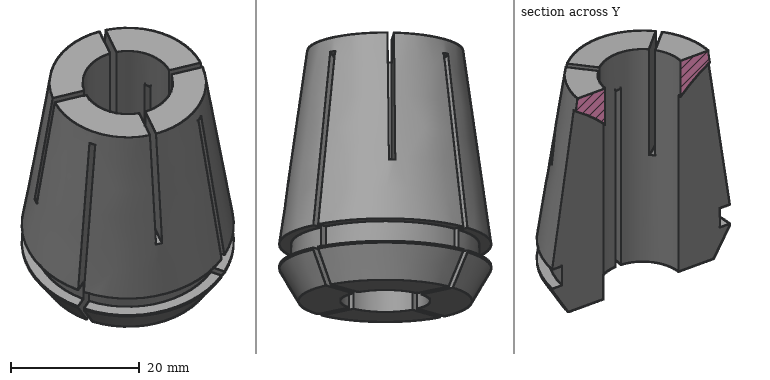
import math

import cadquery as cq

height = 40.0
outer_diameter = 33.0
bore_diameter = 14.0

nose_cone_height = 5.2
nose_bottom_diameter = 27.0
rim_width = 0.3

groove_width = 3.6
groove_diameter = 29.3

taper_half_angle = 8.0

slot_width = 1.0
slots_per_end = 4
slot_pitch = 360.0 / slots_per_end

bottom_saw_radius = 30.0
bottom_saw_r = 28.7
bottom_saw_z = 12.4

top_saw_radius = 15.0
top_saw_r = 13.2
top_saw_z = 33.8

outer_radius = outer_diameter / 2
rim_top = nose_cone_height + rim_width
taper_bottom = rim_top + groove_width
top_radius = outer_radius - (height - taper_bottom) * math.tan(math.radians(taper_half_angle))


def make_body():
    """Revolve the bored outline, given as (radius, height) points."""
    bore_radius = bore_diameter / 2
    groove_radius = groove_diameter / 2
    outline = [
        (bore_radius, 0),
        (nose_bottom_diameter / 2, 0),
        (outer_radius, nose_cone_height),
        (outer_radius, rim_top),
        (groove_radius, rim_top),
        (groove_radius, taper_bottom),
        (outer_radius, taper_bottom),
        (top_radius, height),
        (bore_radius, height),
    ]
    return cq.Workplane("XZ").polyline(outline).close().revolve(360, (0, 0, 0), (0, 1, 0))


def make_slot_cutter(saw_radius, saw_r, saw_z, open_z, angle):
    """Saw cut in the radial plane at the given angle, running from its arc end to open_z."""
    end_z = saw_z + math.copysign(saw_radius, saw_z - open_z)
    inner_r = saw_r - saw_radius
    outer_r = saw_r + saw_radius
    cutter = (
        cq.Workplane("XZ")
        .moveTo(inner_r, open_z)
        .lineTo(inner_r, saw_z)
        .threePointArc((saw_r, end_z), (outer_r, saw_z))
        .lineTo(outer_r, open_z)
        .close()
        .extrude(slot_width / 2, both=True)
    )
    return cutter.rotate((0, 0, 0), (0, 0, 1), angle)


result = make_body()
for index in range(slots_per_end):
    bottom_angle = index * slot_pitch
    top_angle = bottom_angle + slot_pitch / 2
    bottom_cutter = make_slot_cutter(bottom_saw_radius, bottom_saw_r, bottom_saw_z, 0, bottom_angle)
    top_cutter = make_slot_cutter(top_saw_radius, top_saw_r, top_saw_z, height, top_angle)
    result = result.cut(bottom_cutter).cut(top_cutter)